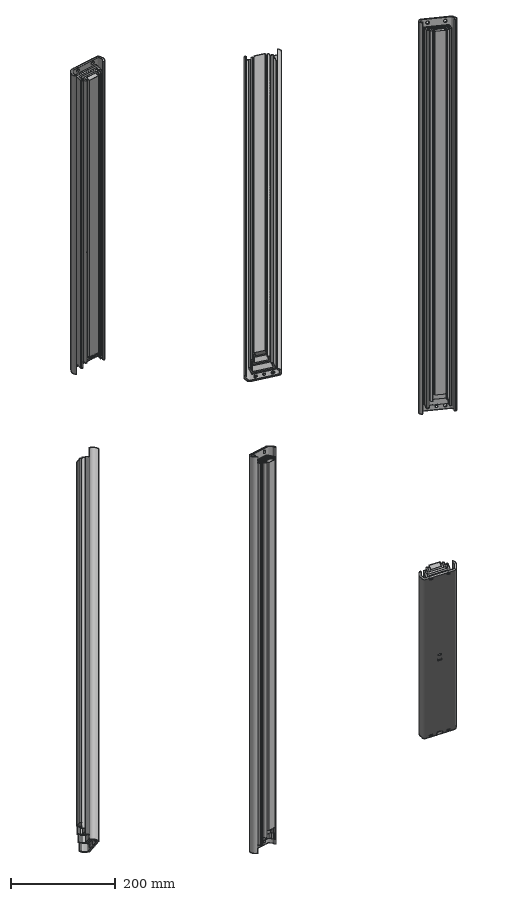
import cadquery as cq
import math

LENGTH = 800.0
HALF_WIDTH = 38.0
WALL = 4.0

CORNER_RADIUS = 6.0
FLANK_SLOPE = 25.0
LIP_RADIUS = 9.0
FLANK_LENGTH = 5.5
LIP_END = 65.0

END_HOLE_RADIUS = 3.4
END_HOLE_Y = 18.0
END_HOLE_INSET = 7.0
CENTRE_HOLE_RADIUS = 3.6
WINDOW_WIDTH = 8.0
WINDOW_HEIGHT = 6.0
WINDOW_DROP = 26.0
SINK_RADIUS = 6.0
SINK_HOLE_RADIUS = 2.0

WEB_PITCH = 7.4
SLIDE_TOP = 785.0
OUTER_SLIDE_BOTTOM = 14.0
MIDDLE_SLIDE_BOTTOM = 28.0
BAR_BOTTOM = 42.0
OUTER_SLIDE_HALF_WIDTH = 25.0
OUTER_SLIDE_FRONT = 25.0
TIP_LENGTH = 2.8
TIP_STEP = 0.4
MIDDLE_SLIDE_HALF_WIDTH = 18.0
MIDDLE_SLIDE_FRONT = 30.0
BAR_HALF_WIDTH = 11.0
BAR_FRONT = 32.0

TRACK_RADIUS = 2.0
TRACK_SETBACK = 5.0
TIP_ROUND = 1.2

OUTER_SLIDE_BACK = WEB_PITCH
MIDDLE_SLIDE_BACK = 2 * WEB_PITCH
BAR_BACK = 3 * WEB_PITCH
OUTER_SLIDE_INNER_Y = OUTER_SLIDE_HALF_WIDTH - WALL
MIDDLE_SLIDE_INNER_Y = MIDDLE_SLIDE_HALF_WIDTH - WALL
OUTER_TRACK = (OUTER_SLIDE_FRONT - TRACK_SETBACK, (OUTER_SLIDE_INNER_Y + MIDDLE_SLIDE_HALF_WIDTH) / 2)
INNER_TRACK = (MIDDLE_SLIDE_FRONT - TRACK_SETBACK, (MIDDLE_SLIDE_INNER_Y + BAR_HALF_WIDTH) / 2)


def arc_point(centre, radius, degrees):
    """Point on a circle, at an angle from +Y toward +X."""
    angle = math.radians(degrees)
    return (centre[0] + radius * math.sin(angle), centre[1] + radius * math.cos(angle))


def mirrored(point):
    """The same point on the other side of the XZ plane."""
    return (point[0], -point[1])


def rail_half_curve(inset):
    """Points of one rail half from the web to the lip end: arc, straight flank, arc."""
    slope = math.radians(FLANK_SLOPE)
    radius_step = LIP_RADIUS - CORNER_RADIUS
    centre_dx = FLANK_LENGTH * math.cos(slope) + radius_step * math.sin(slope)
    centre_dy = FLANK_LENGTH * math.sin(slope) - radius_step * math.cos(slope)
    lip_centre = (CORNER_RADIUS + centre_dx, HALF_WIDTH - LIP_RADIUS)
    corner_centre = (CORNER_RADIUS, lip_centre[1] - centre_dy)
    corner_radius = CORNER_RADIUS - inset
    lip_radius = LIP_RADIUS - inset
    return [
        arc_point(corner_centre, corner_radius, -90),
        arc_point(corner_centre, corner_radius, -(90 + FLANK_SLOPE) / 2),
        arc_point(corner_centre, corner_radius, -FLANK_SLOPE),
        arc_point(lip_centre, lip_radius, -FLANK_SLOPE),
        arc_point(lip_centre, lip_radius, (LIP_END - FLANK_SLOPE) / 2),
        arc_point(lip_centre, lip_radius, LIP_END),
    ]


def web_points(points):
    """Work in the web plane, with the given (Y, Z) points."""
    return cq.Workplane("YZ").pushPoints(points)


def make_outer_rail():
    outside = rail_half_curve(0)
    inside = rail_half_curve(WALL)
    start, corner, flank, lip, crest, end = outside
    in_start, in_corner, in_flank, in_lip, in_crest, in_end = inside
    profile = (
        cq.Workplane()
        .moveTo(*start).threePointArc(corner, flank).lineTo(*lip).threePointArc(crest, end)
        .lineTo(*in_end).threePointArc(in_crest, in_lip)
        .lineTo(*in_flank).threePointArc(in_corner, in_start)
        .lineTo(*mirrored(in_start)).threePointArc(mirrored(in_corner), mirrored(in_flank))
        .lineTo(*mirrored(in_lip)).threePointArc(mirrored(in_crest), mirrored(in_end))
        .lineTo(*mirrored(end)).threePointArc(mirrored(crest), mirrored(lip))
        .lineTo(*mirrored(flank)).threePointArc(mirrored(corner), mirrored(start))
        .close()
    )
    return cut_web_holes(profile.extrude(LENGTH))


def cut_web_holes(rail):
    """Four end holes, a middle hole, a window and a countersunk hole through the web."""
    end_holes = [
        (side * END_HOLE_Y, z)
        for side in (-1, 1)
        for z in (END_HOLE_INSET, LENGTH - END_HOLE_INSET)
    ]
    middle_z = LENGTH / 2
    rail = rail.cut(web_points(end_holes).circle(END_HOLE_RADIUS).extrude(WALL))
    rail = rail.cut(web_points([(0, middle_z)]).circle(CENTRE_HOLE_RADIUS).extrude(WALL))
    window = web_points([(0, middle_z - WINDOW_DROP)]).rect(WINDOW_WIDTH, WINDOW_HEIGHT)
    rail = rail.cut(window.extrude(WALL))
    countersink = (
        cq.Workplane("YZ").center(0, END_HOLE_INSET).circle(SINK_RADIUS)
        .workplane(offset=WALL).circle(SINK_HOLE_RADIUS).loft()
    )
    return rail.cut(countersink)


def block(back, front, half_width, bottom):
    """Box symmetric about the mid plane, from the given bottom up to the slide top."""
    box = cq.Workplane().box(front - back, 2 * half_width, SLIDE_TOP - bottom, centered=False)
    return box.translate((back, -half_width, bottom))


def track_rods(track, bottom):
    """Pair of round rods along the ball tracks on both sides of the mid plane."""
    x, y = track
    rods = cq.Workplane().workplane(offset=bottom).pushPoints([(x, y), (x, -y)])
    return rods.circle(TRACK_RADIUS).extrude(SLIDE_TOP - bottom)


def channel(back, front, half_width, bottom):
    """C-shaped slide with its web at the back and its arms reaching to the front."""
    opening = block(back + WALL, front, half_width - WALL, bottom)
    return block(back, front, half_width, bottom).cut(opening)


def make_spacer():
    """Strip between the web of the outer rail and the back of the outer slide."""
    return block(WALL, OUTER_SLIDE_BACK, OUTER_SLIDE_HALF_WIDTH, OUTER_SLIDE_BOTTOM)


def make_outer_slide():
    """Channel with stepped-back arm tips and a ball track inside each arm."""
    bottom = OUTER_SLIDE_BOTTOM
    slide = channel(OUTER_SLIDE_BACK, OUTER_SLIDE_FRONT, OUTER_SLIDE_HALF_WIDTH, bottom)
    tip_back = OUTER_SLIDE_FRONT - TIP_LENGTH
    full_tip = block(tip_back, OUTER_SLIDE_FRONT, OUTER_SLIDE_HALF_WIDTH, bottom)
    narrow_tip = block(tip_back, OUTER_SLIDE_FRONT, OUTER_SLIDE_HALF_WIDTH - TIP_STEP, bottom)
    slide = slide.cut(full_tip.cut(narrow_tip))
    return slide.cut(track_rods(OUTER_TRACK, bottom))


def make_middle_slide():
    """Channel with rounded arm tips and ball tracks on both sides of each arm."""
    bottom = MIDDLE_SLIDE_BOTTOM
    slide = channel(MIDDLE_SLIDE_BACK, MIDDLE_SLIDE_FRONT, MIDDLE_SLIDE_HALF_WIDTH, bottom)
    slide = slide.faces(">Y or <Y").edges(">X").fillet(TIP_ROUND)
    for track in (OUTER_TRACK, INNER_TRACK):
        slide = slide.cut(track_rods(track, bottom))
    return slide


def make_inner_bar():
    """Solid bar with a ball track in each side."""
    bar = block(BAR_BACK, BAR_FRONT, BAR_HALF_WIDTH, BAR_BOTTOM)
    return bar.cut(track_rods(INNER_TRACK, BAR_BOTTOM))


def make_cage(back, web_front, inner_y, outer_y, track, bottom):
    """U-shaped ball cage filling the gap between two slides, with a round bead along each track."""
    track_x = track[0]
    opening = block(web_front, track_x, inner_y, bottom)
    cage = block(back, track_x, outer_y, bottom).cut(opening)
    return cage.union(track_rods(track, bottom))


outer_rail = make_outer_rail()
spacer = make_spacer()
outer_slide = make_outer_slide()
middle_slide = make_middle_slide()
inner_bar = make_inner_bar()

cage_fits = [
    (OUTER_SLIDE_BACK + WALL, MIDDLE_SLIDE_BACK, MIDDLE_SLIDE_HALF_WIDTH, OUTER_SLIDE_INNER_Y,
     OUTER_TRACK, MIDDLE_SLIDE_BOTTOM),
    (MIDDLE_SLIDE_BACK + WALL, BAR_BACK, BAR_HALF_WIDTH, MIDDLE_SLIDE_INNER_Y,
     INNER_TRACK, BAR_BOTTOM),
]
cages = [make_cage(*fit) for fit in cage_fits]

bodies = [outer_rail, spacer, outer_slide, middle_slide, inner_bar, *cages]
result = cq.Compound.makeCompound([body.solids().val() for body in bodies])